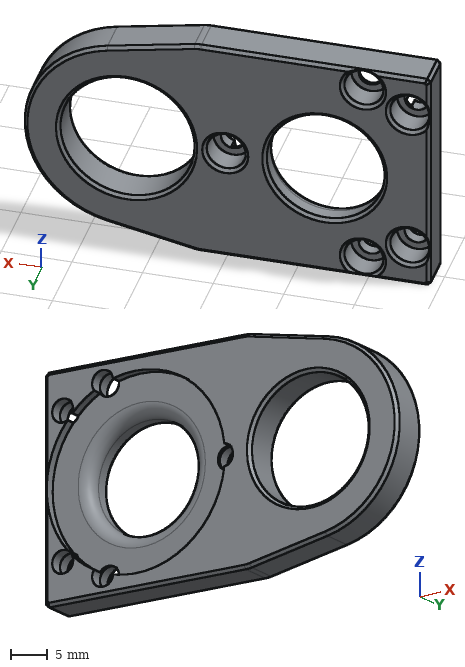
import cadquery as cq
import math

length = 57.5
thickness = 5.9
height = 33.6
edge_chamfer = 0.5

end_radius = 14.55
end_center_x = length - end_radius
shoulder_x = 32.95
shoulder_blend_radius = 5.0
end_hole_diameter = 19.0

seat_center_x = 14.9
seat_diameter = 29.0
seat_depth = 1.5
bore_diameter = 16.7
bore_lip_radius = 2.0

screw_diameter = 3.4
screw_head_diameter = 5.5
screw_head_depth = 3.95
inner_screw_x = 29.0
upper_screw_x = 9.5
upper_screw_z = 13.8
outer_screw_x = 3.0
outer_screw_z = 10.8


def cylinder_along_y(x, z, diameter, y_start, depth):
    base = cq.Vector(x, y_start, z)
    return cq.Workplane(obj=cq.Solid.makeCylinder(diameter / 2, depth, base, cq.Vector(0, 1, 0)))


def make_plate():
    half_height = height / 2
    shoulder_dx = shoulder_x - end_center_x
    shoulder_distance = math.hypot(shoulder_dx, half_height)
    tangent_angle = math.atan2(half_height, shoulder_dx) - math.acos(end_radius / shoulder_distance)
    tangent_x = end_center_x + end_radius * math.cos(tangent_angle)
    tangent_z = end_radius * math.sin(tangent_angle)
    plate = (
        cq.Workplane("XZ")
        .moveTo(0, -half_height)
        .lineTo(shoulder_x, -half_height)
        .lineTo(tangent_x, -tangent_z)
        .threePointArc((length, 0), (tangent_x, tangent_z))
        .lineTo(shoulder_x, half_height)
        .lineTo(0, half_height)
        .close()
        .extrude(-thickness)
    )
    shoulder_edges = cq.selectors.BoxSelector(
        (shoulder_x - 0.6, -0.6, -height), (shoulder_x + 0.6, thickness + 0.6, height)
    )
    plate = plate.edges("|Y").edges(shoulder_edges).fillet(shoulder_blend_radius)
    plate = plate.edges("|Y and <X").chamfer(edge_chamfer)
    end_hole = cylinder_along_y(end_center_x, 0, end_hole_diameter, 0, thickness)
    return plate.cut(end_hole).faces("<Y or >Y").edges().chamfer(edge_chamfer)


def cut_seat_and_bore(body):
    seat = cylinder_along_y(seat_center_x, 0, seat_diameter, 0, seat_depth)
    bore_radius = bore_diameter / 2
    lip_outer_radius = bore_radius + bore_lip_radius
    lip_end_y = seat_depth + bore_lip_radius
    lip_mid_offset = bore_lip_radius * math.sqrt(0.5)
    bore = (
        cq.Workplane("XY")
        .moveTo(0, seat_depth)
        .lineTo(lip_outer_radius, seat_depth)
        .threePointArc(
            (lip_outer_radius - lip_mid_offset, lip_end_y - lip_mid_offset),
            (bore_radius, lip_end_y),
        )
        .lineTo(bore_radius, thickness - edge_chamfer)
        .lineTo(bore_radius + edge_chamfer, thickness)
        .lineTo(0, thickness)
        .close()
        .revolve(360, (0, 0, 0), (0, 1, 0))
        .translate((seat_center_x, 0, 0))
    )
    return body.cut(seat).cut(bore)


def cut_screw_holes(body):
    positions = [(inner_screw_x, 0)]
    for side in (-1, 1):
        positions.append((upper_screw_x, side * upper_screw_z))
        positions.append((outer_screw_x, side * outer_screw_z))
    head_y = thickness - screw_head_depth
    for x, z in positions:
        body = body.cut(cylinder_along_y(x, z, screw_diameter, 0, thickness))
        body = body.cut(cylinder_along_y(x, z, screw_head_diameter, head_y, screw_head_depth))
        mouth = cq.Solid.makeCone(
            screw_head_diameter / 2,
            screw_head_diameter / 2 + edge_chamfer,
            edge_chamfer,
            cq.Vector(x, thickness - edge_chamfer, z),
            cq.Vector(0, 1, 0),
        )
        body = body.cut(cq.Workplane(obj=mouth))
    return body


result = cut_screw_holes(cut_seat_and_bore(make_plate()))